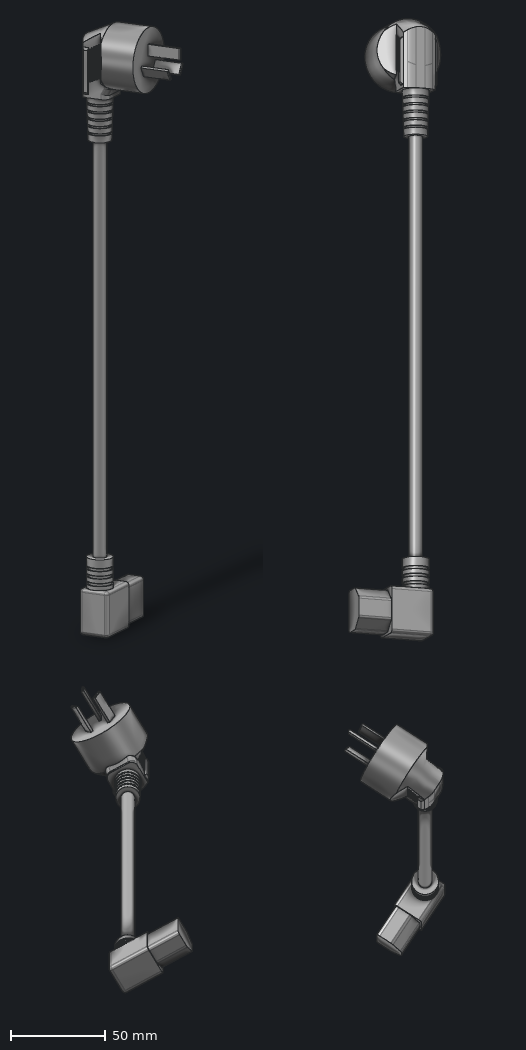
import cadquery as cq
import math


cable_radius = 3.7

disc_radius = 18.0
disc_back_x = 8.5
disc_front_x = 29.2
plug_back_x = -7.6
cone_back_radius = 10.6
grip_half_width = 9.0
shoulder_start_x = 5.1
shoulder_end_x = 10.3
back_flat_half_width = 2.5
back_corner_x = -5.6
back_arc_end = (-6.6, 7.0)
back_arc_radius = 10.6
plug_bottom_z = -22.6

neck_top_z = 5.0
neck_front_x = 9.0
neck_corner_radius = 3.5
neck_flare_x = 11.0
neck_flare_z = -17.0
neck_flare_end_z = -20.5

band_half_width = 10.4
band_front_x = -2.0
band_slope_end_x = -4.2
band_top_z = 5.0
band_bottom_z = -20.8
band_end_chamfer = 1.3
rib_pitch = 1.4
rib_width = 0.7
rib_height = 0.4
rib_top_back_z = 4.0
rib_top_front_z = 8.0
rib_bottom_back_z = -14.0
rib_bottom_front_z = -11.0

blade_width = 6.4
blade_thickness = 1.5
blade_tip_chamfer = 0.5
earth_tip_x = 48.39
earth_z = 5.6
live_tip_x = 45.4
live_y = 6.7
live_z = -4.6
live_tilt = 30.0

plug_relief_bottom_z = -47.5
plug_relief_top_radius = 7.2
plug_relief_bottom_radius = 6.4
plug_groove_depth = 0.8
plug_groove_width = 1.1
plug_groove_pitch = 4.05
plug_groove_first_z = -26.9
plug_groove_count = 5

connector_half_width = 8.6
connector_back_y = -7.4
connector_front_y = 16.6
connector_top_z = -293.0
connector_bottom_z = -318.63
connector_edge_radius = 1.9

nose_front_y = 34.96
nose_half_width = 7.8
nose_half_height = 11.4
nose_slope_width = 5.8
nose_slope_height = 6.0
nose_slope_rounding = 2.0
nose_corner_radius = 2.0

connector_relief_top_z = -276.1
connector_relief_radius = 7.2
connector_groove_depth = 0.8
connector_groove_width = 1.6
connector_groove_pitch = 4.1
connector_groove_first_z = -281.8
connector_groove_count = 3


def ring_groove(center_z, width, floor_radius):
    """Ring-shaped cutter around the cable axis."""
    outer_radius = 2 * floor_radius
    return (
        cq.Workplane("XY", origin=(0, 0, center_z - width / 2))
        .circle(outer_radius)
        .circle(floor_radius)
        .extrude(width)
    )


def round_backed_prism(half_outline, bottom_z, top_z):
    """Upright prism, symmetric about Y = 0, with the rounded back of the plug.

    half_outline lists the +Y corners from the grip side towards the front.
    """
    arc_x, arc_y = back_arc_end
    prism = (
        cq.Workplane("XY", origin=(0, 0, bottom_z))
        .moveTo(plug_back_x, -back_flat_half_width)
        .lineTo(plug_back_x, back_flat_half_width)
        .radiusArc((arc_x, arc_y), back_arc_radius)
        .lineTo(back_corner_x, grip_half_width)
    )
    for x, y in half_outline:
        prism = prism.lineTo(x, y)
    for x, y in reversed(half_outline):
        prism = prism.lineTo(x, -y)
    return (
        prism.lineTo(back_corner_x, -grip_half_width)
        .lineTo(arc_x, -arc_y)
        .radiusArc((plug_back_x, -back_flat_half_width), back_arc_radius)
        .close()
        .extrude(top_z - bottom_z)
    )


def plug_head():
    """Disc and cone turned about X, trimmed at the sides to the grip and its slanted shoulders."""
    turned = (
        cq.Workplane("XY")
        .moveTo(plug_back_x, 0)
        .lineTo(plug_back_x, cone_back_radius)
        .lineTo(disc_back_x, disc_radius)
        .lineTo(disc_front_x, disc_radius)
        .lineTo(disc_front_x, 0)
        .close()
        .revolve(360, (0, 0, 0), (1, 0, 0))
    )
    half_outline = [
        (shoulder_start_x, grip_half_width),
        (shoulder_end_x, disc_radius),
        (disc_front_x, disc_radius),
    ]
    side_trim = round_backed_prism(half_outline, -disc_radius, disc_radius)
    return turned.intersect(side_trim)


def plug_neck():
    """Upright block that carries the grip down from the disc to the strain relief."""
    side_profile = (
        cq.Workplane("XZ", origin=(0, grip_half_width, 0))
        .moveTo(plug_back_x, neck_top_z)
        .lineTo(disc_back_x, neck_top_z)
        .lineTo(neck_flare_x, neck_flare_z)
        .lineTo(neck_front_x, neck_flare_end_z)
        .lineTo(neck_front_x, plug_bottom_z)
        .lineTo(plug_back_x, plug_bottom_z)
        .close()
        .extrude(2 * grip_half_width)
    )
    front_corners = cq.selectors.BoxSelector(
        (disc_back_x, -2 * grip_half_width, plug_bottom_z),
        (neck_flare_x, 2 * grip_half_width, neck_top_z),
    )
    side_profile = side_profile.edges("not |Y").edges(front_corners).fillet(neck_corner_radius)
    plan_trim = round_backed_prism([(neck_flare_x, grip_half_width)], plug_bottom_z, neck_top_z)
    return side_profile.intersect(plan_trim)


def finger_bands():
    """Raised band crossing the grip, standing proud on both sides, sloped at the back and the ends."""
    band = (
        cq.Workplane("XY", origin=(0, 0, band_bottom_z))
        .polyline([
            (back_corner_x, -grip_half_width),
            (back_corner_x, grip_half_width),
            (band_slope_end_x, band_half_width),
            (band_front_x, band_half_width),
            (band_front_x, -band_half_width),
            (band_slope_end_x, -band_half_width),
        ])
        .close()
        .extrude(band_top_z - band_bottom_z)
    )
    end_trim = (
        cq.Workplane("XY")
        .box(disc_radius, 2 * band_half_width, band_top_z - band_bottom_z)
        .edges("|X")
        .chamfer(band_end_chamfer)
        .translate((0, 0, (band_top_z + band_bottom_z) / 2))
    )
    return band.intersect(end_trim)


def grip_ribs():
    """Fine upright ribs on both sides of the grip, between the band and the shoulder."""
    span = shoulder_start_x - band_front_x
    rib_count = math.floor(span / rib_pitch)
    first_x = band_front_x + (span - (rib_count - 1) * rib_pitch) / 2
    ribs = cq.Workplane("XY")
    for index in range(rib_count):
        rib_x = first_x + index * rib_pitch
        along = (rib_x - band_front_x) / span
        top_z = rib_top_back_z + along * (rib_top_front_z - rib_top_back_z)
        bottom_z = rib_bottom_back_z + along * (rib_bottom_front_z - rib_bottom_back_z)
        ribs = ribs.union(
            cq.Workplane("XY", origin=(rib_x, 0, bottom_z))
            .rect(rib_width, 2 * (grip_half_width + rib_height))
            .extrude(top_z - bottom_z)
        )
    return ribs


def blade(tip_x, y, z, tilt):
    """Flat contact blade with a chamfered tip, turned by the tilt angle about its own axis."""
    return (
        cq.Workplane("YZ", origin=(disc_front_x, 0, 0))
        .rect(blade_thickness, blade_width)
        .extrude(tip_x - disc_front_x)
        .faces(">X")
        .edges("|Z")
        .chamfer(blade_tip_chamfer)
        .rotate((0, 0, 0), (1, 0, 0), tilt)
        .translate((0, y, z))
    )


def plug_relief():
    """Tapered strain relief with evenly spaced ring grooves."""
    length = plug_bottom_z - plug_relief_bottom_z
    relief = (
        cq.Workplane("XY", origin=(0, 0, plug_relief_bottom_z))
        .circle(plug_relief_bottom_radius)
        .workplane(offset=length)
        .circle(plug_relief_top_radius)
        .loft()
    )
    for index in range(plug_groove_count):
        groove_z = plug_groove_first_z - index * plug_groove_pitch
        along = (groove_z - plug_relief_bottom_z) / length
        taper = along * (plug_relief_top_radius - plug_relief_bottom_radius)
        floor_radius = plug_relief_bottom_radius + taper - plug_groove_depth
        relief = relief.cut(ring_groove(groove_z, plug_groove_width, floor_radius))
    return relief


def make_plug():
    plug = plug_head().union(plug_neck()).union(finger_bands()).union(grip_ribs()).union(plug_relief())
    plug = plug.union(blade(earth_tip_x, 0, earth_z, 0))
    for side in (-1, 1):
        plug = plug.union(blade(live_tip_x, side * live_y, live_z, -side * live_tilt))
    return plug


def make_cable():
    return (
        cq.Workplane("XY", origin=(0, 0, connector_relief_top_z))
        .circle(cable_radius)
        .extrude(plug_relief_bottom_z - connector_relief_top_z)
    )


def connector_block():
    """Rounded block with a sharp-edged front face."""
    return (
        cq.Workplane("XZ", origin=(0, connector_front_y, 0))
        .center(0, (connector_top_z + connector_bottom_z) / 2)
        .rect(2 * connector_half_width, connector_top_z - connector_bottom_z)
        .extrude(connector_front_y - connector_back_y)
        .edges("|Y or <Y")
        .fillet(connector_edge_radius)
    )


def connector_nose():
    """Plug-in nose: two sloped corners at the back, two small rounded corners at the front."""
    slope_x = nose_slope_width - nose_half_width
    slope_z = nose_half_height - nose_slope_height
    center_z = (connector_top_z + connector_bottom_z) / 2
    nose = (
        cq.Workplane("XZ", origin=(0, nose_front_y, center_z))
        .polyline([
            (nose_half_width, nose_half_height),
            (slope_x, nose_half_height),
            (-nose_half_width, slope_z),
            (-nose_half_width, -slope_z),
            (slope_x, -nose_half_height),
            (nose_half_width, -nose_half_height),
        ])
        .close()
        .extrude(nose_front_y - connector_front_y)
    )
    nose = nose.edges("|Y and >X").fillet(nose_corner_radius)
    slope_edges = cq.selectors.BoxSelector(
        (-2 * nose_half_width, connector_front_y, connector_bottom_z),
        (0, nose_front_y, connector_top_z),
    )
    return nose.edges("|Y").edges(slope_edges).fillet(nose_slope_rounding)


def connector_relief():
    """Straight strain relief with evenly spaced ring grooves."""
    relief = (
        cq.Workplane("XY", origin=(0, 0, connector_top_z))
        .circle(connector_relief_radius)
        .extrude(connector_relief_top_z - connector_top_z)
    )
    floor_radius = connector_relief_radius - connector_groove_depth
    for index in range(connector_groove_count):
        groove_z = connector_groove_first_z - index * connector_groove_pitch
        relief = relief.cut(ring_groove(groove_z, connector_groove_width, floor_radius))
    return relief


def make_connector():
    return connector_block().union(connector_nose()).union(connector_relief())


plug = make_plug()
cable = make_cable()
connector = make_connector()
result = cq.Compound.makeCompound([plug.val(), cable.val(), connector.val()])